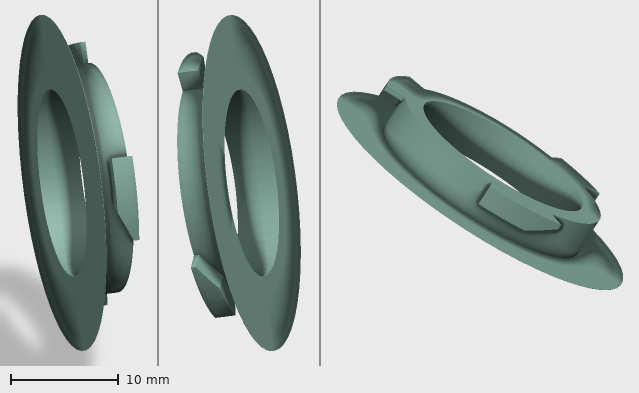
import cadquery as cq
import math

flange_diameter = 31.5
ring_outer_diameter = 21.5
ring_bore_diameter = 17.5
ring_depth = 4.0
flange_thickness = 0.03

lug_outer_radius = 12.75
lug_depth = 2.0
lug_tip_depth = 0.5
ramp_length = 3.0
lugs = [(0, 36.5), (120, 26.5), (240, 36.5)]

ring_outer_radius = ring_outer_diameter / 2
ring_bore_radius = ring_bore_diameter / 2
lug_root_radius = (ring_bore_radius + ring_outer_radius) / 2
lug_front = ring_depth - lug_depth


def annulus(outer_radius, inner_radius, depth):
    """Flat ring about Y, running from Y = 0 to Y = depth."""
    return cq.Workplane("XZ").circle(outer_radius).circle(inner_radius).extrude(-depth)


def polar_point(radius, angle):
    """Point in the XZ plane at an angle in degrees from +X towards +Z."""
    turn = math.radians(angle)
    return (radius * math.cos(turn), radius * math.sin(turn))


def ramp_cutter():
    """Wedge that slopes the front face of a lug whose tip lies at angle 0."""
    return (
        cq.Workplane("YZ")
        .moveTo(lug_front, 0)
        .lineTo(ring_depth - lug_tip_depth, 0)
        .lineTo(lug_front, ramp_length)
        .close()
        .extrude(flange_diameter / 2)
    )


def make_lug(tip_angle, span):
    """Sector block with radial ends and a ramped tip, turned to its place on the ring."""
    sector = (
        cq.Workplane("XZ", origin=(0, lug_front, 0))
        .moveTo(lug_root_radius, 0)
        .lineTo(lug_outer_radius, 0)
        .threePointArc(polar_point(lug_outer_radius, span / 2), polar_point(lug_outer_radius, span))
        .lineTo(*polar_point(lug_root_radius, span))
        .threePointArc(polar_point(lug_root_radius, span / 2), (lug_root_radius, 0))
        .close()
        .extrude(-lug_depth)
    )
    lug = sector.cut(ramp_cutter())
    return lug.rotate((0, 0, 0), (0, 1, 0), -tip_angle)


def make_bayonet_ring():
    """Plain sleeve with its lugs."""
    sleeve = annulus(ring_outer_radius, ring_bore_radius, ring_depth)
    for tip_angle, span in lugs:
        sleeve = sleeve.union(make_lug(tip_angle, span))
    return sleeve


def make_flange():
    """Thin disc fitted around the front end of the ring."""
    return annulus(flange_diameter / 2, ring_outer_radius, flange_thickness)


bayonet_ring = make_bayonet_ring()
flange = make_flange()

result = cq.Compound.makeCompound([bayonet_ring.val(), flange.val()])